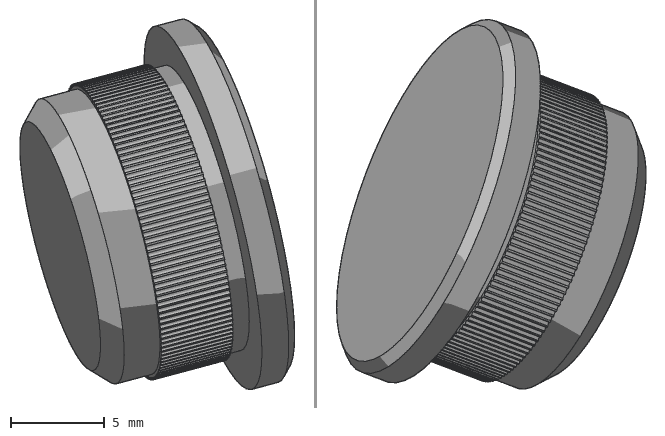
import cadquery as cq
import math

flange_diameter = 20
body_diameter = 15.7
knurl_diameter = 16.3
total_length = 10
flange_thickness = 2
flange_chamfer = 0.5
tip_chamfer = 1

neck_length = 1
knurl_length = 4
groove_count = 140
groove_radius = 0.125

back_y = total_length / 2
knurl_y = back_y - flange_thickness - neck_length


def cylinder(diameter, start_y, length):
    """Solid cylinder on the Y axis, running from start_y toward -Y."""
    return cq.Workplane("XZ", origin=(0, start_y, 0)).circle(diameter / 2).extrude(length)


def on_circle(radius, angle):
    return (radius * math.cos(angle), radius * math.sin(angle))


def knurled_band():
    """Band whose rim alternates between narrow lands and concave arcs."""
    rim_radius = knurl_diameter / 2
    pitch_angle = 2 * math.pi / groove_count
    half_groove_angle = 2 * math.asin(groove_radius / (2 * rim_radius))

    profile = cq.Workplane("XZ", origin=(0, knurl_y, 0))
    profile = profile.moveTo(*on_circle(rim_radius, -half_groove_angle))
    for index in range(groove_count):
        groove_angle = index * pitch_angle
        groove_end = groove_angle + half_groove_angle
        next_groove_start = groove_angle + pitch_angle - half_groove_angle
        land_middle = groove_angle + pitch_angle / 2
        profile = profile.threePointArc(
            on_circle(rim_radius - groove_radius, groove_angle),
            on_circle(rim_radius, groove_end),
        )
        profile = profile.threePointArc(
            on_circle(rim_radius, land_middle),
            on_circle(rim_radius, next_groove_start),
        )
    return profile.close().extrude(knurl_length)


flange = cylinder(flange_diameter, back_y, flange_thickness).faces(">Y").chamfer(flange_chamfer)
body = cylinder(body_diameter, back_y, total_length).faces("<Y").chamfer(tip_chamfer)

result = flange.union(body).union(knurled_band())